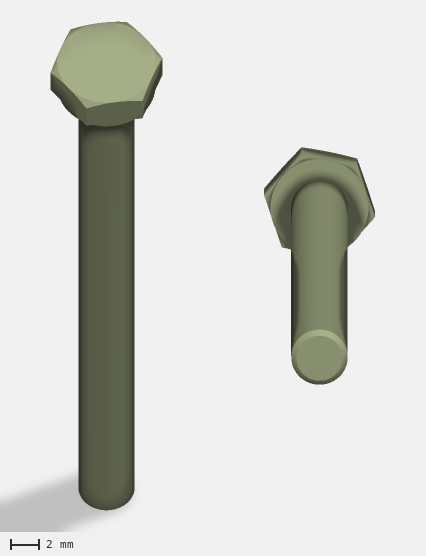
import cadquery as cq
import math

total_length = 52.95
across_flats = 7.0
head_height = 2.9
washer_face_height = 0.5
washer_face_diameter = across_flats
shank_diameter = 4.0
tip_chamfer = 0.35
crown_angle = 30.0

across_corners = across_flats / math.cos(math.radians(30))
corner_radius = across_corners / 2
crown_radius = across_flats / 2
crown_drop = (corner_radius - crown_radius) * math.tan(math.radians(crown_angle))
hex_height = head_height - washer_face_height
shank_length = total_length - head_height


def make_head():
    """Hexagon with two corners on the X axis and its top corners turned conical."""
    hexagon = (
        cq.Workplane("XY")
        .workplane(offset=washer_face_height)
        .polygon(6, across_corners)
        .extrude(hex_height)
    )
    crown_envelope = (
        cq.Workplane("XZ")
        .moveTo(0, 0)
        .lineTo(corner_radius, 0)
        .lineTo(corner_radius, head_height - crown_drop)
        .lineTo(crown_radius, head_height)
        .lineTo(0, head_height)
        .close()
        .revolve(360, (0, 0), (0, 1))
    )
    return hexagon.intersect(crown_envelope)


def make_washer_face():
    """Round bearing face under the hexagon."""
    return cq.Workplane("XY").circle(washer_face_diameter / 2).extrude(washer_face_height)


def make_shank():
    """Plain shank hanging below the head, with a chamfered tip."""
    return (
        cq.Workplane("XY")
        .circle(shank_diameter / 2)
        .extrude(-shank_length)
        .faces("<Z")
        .chamfer(tip_chamfer)
    )


result = make_head().union(make_washer_face()).union(make_shank())